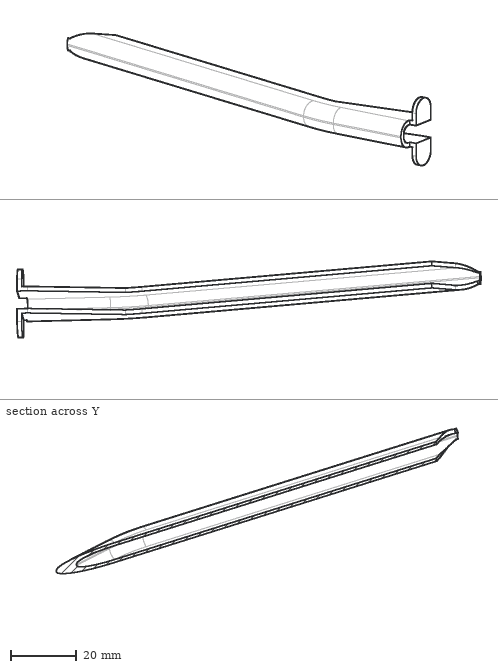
import cadquery as cq
import math

width = 8.5
thickness = 1.5
floor_flat = 0.5
half_width = width / 2
inner_half_width = half_width - thickness
half_flat = floor_flat / 2
outer_radius = half_width - half_flat
inner_radius = outer_radius - thickness
wall_height = 8.1

bend_start = 106.7
bend_radius = 58.0
bend_angle = 12.0
tail_length = 25.5

tip_corner_angle = 26.0
tip_land = 0.7
taper_end = 7.1
wall_slope_end = 13.3

tail_wall_height = 12.8
tail_wall_flat = 0.9
tab_reach = 2.3
tab_bottom = 4.8
tab_span = 21.6

tab_half_span = tab_span / 2
tab_height = tail_wall_height - tab_bottom
tab_radius = tab_height / 2
tab_back = tail_length + tab_reach


def on_bend(height, angle):
    """Point at a height above the underside, part way round the bend."""
    radius = bend_radius - height
    turn = math.radians(angle)
    return (bend_start + radius * math.sin(turn), bend_radius - radius * math.cos(turn))


def on_tail(along, height):
    """XY point given in the frame of the tail."""
    x, y = on_bend(height, bend_angle)
    turn = math.radians(bend_angle)
    return (x + along * math.cos(turn), y + along * math.sin(turn))


def place_on_tail(shape):
    """Move a shape from the tail frame to its place on the part."""
    start_x, start_y = on_bend(0, bend_angle)
    return shape.rotate((0, 0, 0), (0, 0, 1), bend_angle).translate((start_x, start_y, 0))


def trough_section(x):
    """Trough section, opening toward +Y, at the given X."""
    arc_rise = 1 - math.sqrt(0.5)
    outer_y = outer_radius * arc_rise
    outer_z = half_width - outer_y
    inner_y = thickness + inner_radius * arc_rise
    inner_z = inner_half_width - inner_radius * arc_rise
    return (
        cq.Workplane("YZ", origin=(x, 0, 0))
        .moveTo(outer_radius, -half_width)
        .threePointArc((outer_y, -outer_z), (0, -half_flat))
        .lineTo(0, half_flat)
        .threePointArc((outer_y, outer_z), (outer_radius, half_width))
        .lineTo(outer_radius, inner_half_width)
        .threePointArc((inner_y, inner_z), (thickness, half_flat))
        .lineTo(thickness, -half_flat)
        .threePointArc((inner_y, -inner_z), (outer_radius, -inner_half_width))
        .close()
    )


def make_trough():
    run = trough_section(0).extrude(bend_start)
    bend = trough_section(bend_start).revolve(bend_angle, (bend_radius, 0), (bend_radius, 1))
    tail = place_on_tail(trough_section(0).extrude(tail_length))
    return run.union(bend).union(tail)


def make_walls():
    outline = (
        cq.Workplane("XY", origin=(0, 0, -half_width))
        .moveTo(0, outer_radius)
        .lineTo(bend_start, outer_radius)
        .threePointArc(on_bend(outer_radius, bend_angle / 2), on_bend(outer_radius, bend_angle))
        .lineTo(*on_tail(tail_length, outer_radius))
        .lineTo(*on_tail(tail_length, tab_bottom))
        .lineTo(*on_tail(tab_back, tab_bottom))
        .lineTo(*on_tail(tab_back, tail_wall_height))
        .lineTo(*on_tail(tail_length - tail_wall_flat, tail_wall_height))
        .lineTo(*on_bend(wall_height, bend_angle / 2))
        .threePointArc(on_bend(wall_height, bend_angle / 4), (bend_start, wall_height))
        .lineTo(0, wall_height)
        .close()
    )
    wall = outline.extrude(thickness)
    return wall.union(wall.mirror("XY"))


def make_tabs():
    round_center = tab_half_span - tab_radius
    tab = (
        cq.Workplane("YZ", origin=(tab_back - thickness, 0, 0))
        .moveTo(tab_bottom, inner_half_width)
        .lineTo(tab_bottom, round_center)
        .threePointArc((tab_bottom + tab_radius, tab_half_span), (tail_wall_height, round_center))
        .lineTo(tail_wall_height, inner_half_width)
        .close()
        .extrude(thickness)
    )
    return place_on_tail(tab.union(tab.mirror("XY")))


def make_wall_taper_cutter():
    return (
        cq.Workplane("XY")
        .moveTo(0, outer_radius)
        .lineTo(taper_end, outer_radius)
        .lineTo(wall_slope_end, wall_height)
        .lineTo(0, wall_height)
        .close()
        .extrude(half_width, both=True)
    )


def removed_sector():
    """Sector of the trough section lying above the tip edge, about a corner axis."""
    reach = 2 * width
    tip_turn = math.radians(tip_corner_angle)
    middle_turn = math.radians((tip_corner_angle + 90) / 2)
    return (
        cq.Workplane("YZ")
        .lineTo(-reach * math.cos(tip_turn), reach * math.sin(tip_turn))
        .threePointArc((-reach * math.cos(middle_turn), reach * math.sin(middle_turn)), (0, reach))
        .close()
    )


def make_trough_taper_cutter():
    """Cut the trough edge square to its surface, widening evenly from the tip."""
    taper_turn = 90 - tip_corner_angle
    land = removed_sector().extrude(tip_land)
    twist = removed_sector().twistExtrude(taper_end - tip_land, -taper_turn).translate((tip_land, 0, 0))
    cutter = land.union(twist).translate((0, outer_radius, half_flat))
    below_walls = cq.Workplane("XY").box(taper_end, outer_radius, width, centered=(False, False, True))
    cutter = cutter.intersect(below_walls)
    return cutter.union(cutter.mirror("XY"))


body = make_trough().union(make_walls()).union(make_tabs())
result = body.cut(make_wall_taper_cutter()).cut(make_trough_taper_cutter())